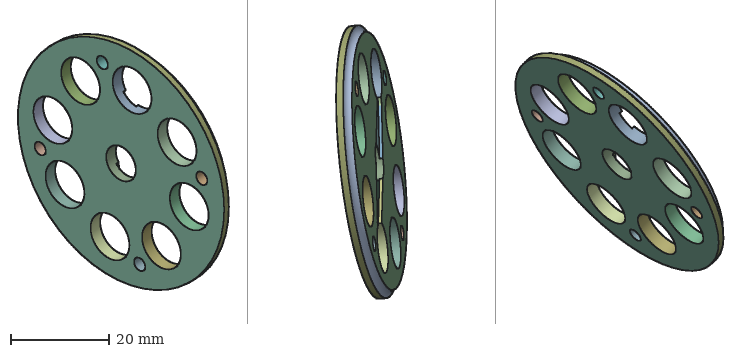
import cadquery as cq

disc_radius = 28.0
disc_thickness = 3.0

cove_radius = disc_thickness / 2

centre_hole_diameter = 8.0
large_hole_diameter = 10.5
large_hole_count = 8
large_hole_circle_radius = 18.75
large_hole_start_angle = -9.2
small_hole_diameter = 3.0
small_hole_count = 4
small_hole_circle_radius = 22.5
small_hole_start_angle = 13.0

pocket_depth = 0.7
pocket_middle_width = 7.0
pocket_tip_width = 4.0
pocket_tip_centre_height = 14.0


def make_disc():
    """Revolve the rim profile, with its quarter-circle cove, about the Y axis."""
    step_height = disc_thickness - cove_radius
    far_face_radius = disc_radius - cove_radius
    return (
        cq.Workplane("XY")
        .lineTo(disc_radius, 0)
        .lineTo(disc_radius, step_height)
        .radiusArc((far_face_radius, disc_thickness), cove_radius)
        .lineTo(0, disc_thickness)
        .close()
        .revolve(360, (0, 0, 0), (0, 1, 0))
    )


def make_hole_ring(diameter, count, circle_radius, start_angle):
    """Cylinders through the disc, equally spaced on a circle; angles run from +X towards +Z."""
    return (
        cq.Workplane("XZ")
        .polarArray(circle_radius, start_angle, 360, count)
        .circle(diameter / 2)
        .extrude(-disc_thickness)
    )


def make_centre_hole():
    """Cylinder through the disc on its axis."""
    return cq.Workplane("XZ").circle(centre_hole_diameter / 2).extrude(-disc_thickness)


def make_pocket():
    """Tapered double arm, mirrored about the X and Z axes, sunk into the far face."""
    middle = pocket_middle_width / 2
    tip = pocket_tip_width / 2
    shoulder = pocket_tip_centre_height
    end = shoulder + tip
    return (
        cq.Workplane("XZ", origin=(0, disc_thickness, 0))
        .moveTo(middle, 0)
        .lineTo(tip, shoulder)
        .threePointArc((0, end), (-tip, shoulder))
        .lineTo(-middle, 0)
        .lineTo(-tip, -shoulder)
        .threePointArc((0, -end), (tip, -shoulder))
        .close()
        .extrude(pocket_depth)
    )


large_holes = make_hole_ring(
    large_hole_diameter, large_hole_count, large_hole_circle_radius, large_hole_start_angle
)
small_holes = make_hole_ring(
    small_hole_diameter, small_hole_count, small_hole_circle_radius, small_hole_start_angle
)

result = make_disc().cut(make_centre_hole()).cut(large_holes).cut(small_holes).cut(make_pocket())